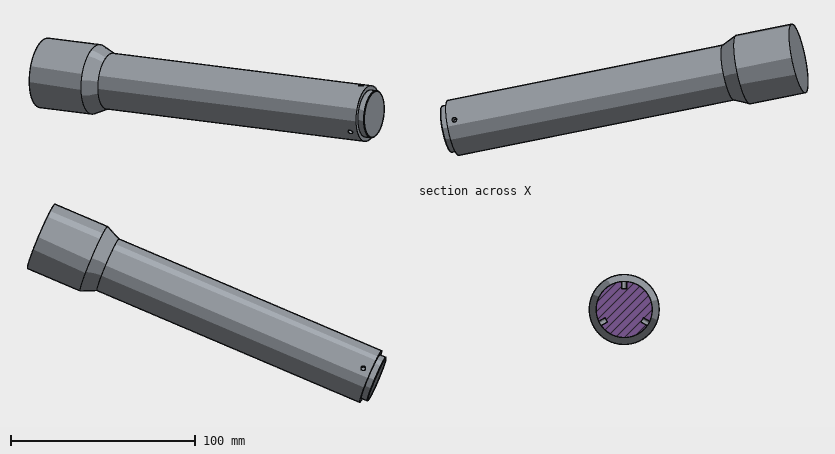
import cadquery as cq
import math

total_length = 198.0
head_end = 31.0
taper_end = 39.5
body_end = 194.2

head_radius = 19.0
body_radius = 15.2
spigot_radius = 12.9
spigot_chamfer = 0.4

hole_station = 189.9
hole_diameter = 2.5
hole_depth = 4.0
hole_count = 3

start_x = -total_length / 2


def turned_body():
    """Head, taper, long body and chamfered spigot, turned about the X axis."""
    outline = [
        (0, 0),
        (0, head_radius),
        (head_end, head_radius),
        (taper_end, body_radius),
        (body_end, body_radius),
        (body_end, spigot_radius),
        (total_length - spigot_chamfer, spigot_radius),
        (total_length, spigot_radius - spigot_chamfer),
        (total_length, 0),
    ]
    points = [(start_x + x, radius) for x, radius in outline]
    profile = cq.Workplane("XY").polyline(points).close()
    return profile.revolve(360, (0, 0, 0), (1, 0, 0))


def radial_hole(angle):
    """Cutter for a blind hole entering the body at an angle from +Z about X."""
    direction = cq.Vector(0, math.sin(math.radians(angle)), math.cos(math.radians(angle)))
    floor = cq.Vector(start_x + hole_station, 0, 0) + direction * (body_radius - hole_depth)
    return cq.Solid.makeCylinder(hole_diameter / 2, 2 * hole_depth, floor, direction)


result = turned_body()
for index in range(hole_count):
    result = result.cut(cq.Workplane(radial_hole(index * 360 / hole_count)))